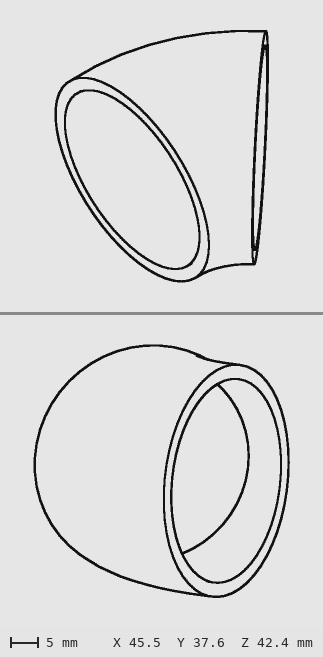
import cadquery as cq
import math

overall_length = 45.55
bend_radius = 32.0
bend_angle = 45.0
wall = 2.6

bend_cosine = math.cos(math.radians(bend_angle))
outer_radius = (overall_length - bend_radius * (1 - bend_cosine)) / (1 + bend_cosine)
inner_radius = outer_radius - wall

pipe_section = cq.Workplane("XZ").circle(outer_radius).circle(inner_radius)
bend_axis_start = (bend_radius, 0)
bend_axis_end = (bend_radius, -1)
result = pipe_section.revolve(bend_angle, bend_axis_start, bend_axis_end)